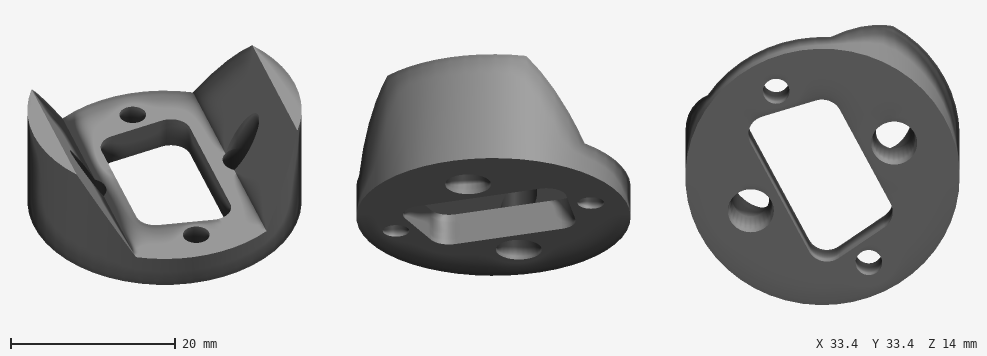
import cadquery as cq
import math

body_diameter = 33.4
body_height = 14.0

floor_thickness = 4.0
floor_half_width = body_diameter / 4
wall_tilt = 30.0
wall_run = (body_height - floor_thickness) * math.tan(math.radians(wall_tilt))

opening_height = 11.66
opening_middle_half_width = 9.85
opening_side_tilt = 9.0
opening_corner_radius = 2.45

connector_screw_diameter = 3.25
connector_screw_spacing = 25.0
mounting_hole_diameter = 4.45
mounting_flare_diameter = 5.6
mounting_hole_spacing = 19.55


def make_body():
    return cq.Workplane("XY").circle(body_diameter / 2).extrude(body_height)


def make_trough():
    top_half_width = floor_half_width + wall_run
    profile = [
        (-floor_half_width, floor_thickness),
        (floor_half_width, floor_thickness),
        (top_half_width, body_height),
        (-top_half_width, body_height),
    ]
    return cq.Workplane("YZ").polyline(profile).close().extrude(body_diameter / 2, both=True)


def opening_half_width(y):
    return opening_middle_half_width + y * math.tan(math.radians(opening_side_tilt))


def make_connector_opening():
    top_y = opening_height / 2
    bottom_y = -top_y
    top_half_width = opening_half_width(top_y)
    bottom_half_width = opening_half_width(bottom_y)
    corners = [
        (-bottom_half_width, bottom_y),
        (bottom_half_width, bottom_y),
        (top_half_width, top_y),
        (-top_half_width, top_y),
    ]
    prism = cq.Workplane("XY").polyline(corners).close().extrude(body_height)
    return prism.edges("|Z").fillet(opening_corner_radius)


def make_connector_screw_holes():
    x = connector_screw_spacing / 2
    centers = [(-x, 0), (x, 0)]
    return cq.Workplane("XY").pushPoints(centers).circle(connector_screw_diameter / 2).extrude(body_height)


def make_mounting_hole(y):
    hole_radius = mounting_hole_diameter / 2
    flare_radius = mounting_flare_diameter / 2
    flare = cq.Solid.makeCone(flare_radius, hole_radius, floor_thickness, pnt=cq.Vector(0, y, 0))
    hole = cq.Workplane("XY").center(0, y).circle(hole_radius).extrude(body_height)
    return hole.union(cq.Workplane(obj=flare))


result = (
    make_body()
    .cut(make_trough())
    .cut(make_connector_opening())
    .cut(make_connector_screw_holes())
)
for side in (-1, 1):
    result = result.cut(make_mounting_hole(side * mounting_hole_spacing / 2))